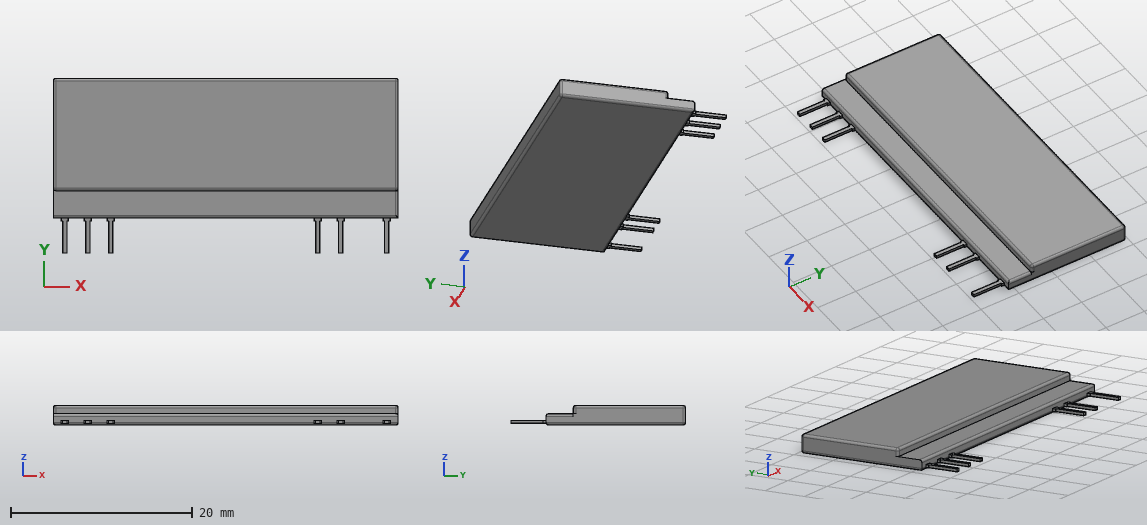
import cadquery as cq

WIDTH = 38.1
DEPTH = 15.43
HEIGHT = 2.17
LEDGE_DEPTH = 3.0
LEDGE_HEIGHT = 1.25
EDGE_RADIUS = 0.3

PIN_LENGTH = 3.9
PIN_WIDTH = 0.5
PIN_THICKNESS = 0.35
PIN_BOTTOM = 0.2
COLLAR_WIDTH = 0.8
COLLAR_LENGTH = 0.35
PIN_PITCH = WIDTH / 15
PIN_SLOTS = (-7, -6, -5, 4, 5, 7)


def block(width, y_start, length, z_start, height):
    """Box centred on X, starting at the given Y and Z."""
    return (
        cq.Workplane("XY")
        .box(width, length, height, centered=(True, False, False))
        .translate((0, y_start, z_start))
    )


def make_housing():
    """Stepped block with rounded edges; its front face lies on Y = 0."""
    main_depth = DEPTH - LEDGE_DEPTH
    main = block(WIDTH, LEDGE_DEPTH, main_depth, 0, HEIGHT)
    main = main.edges("|Z").fillet(EDGE_RADIUS).faces(">Z").edges().fillet(EDGE_RADIUS)

    ledge = block(WIDTH, 0, LEDGE_DEPTH, 0, LEDGE_HEIGHT)
    ledge = ledge.edges("(>Z and <Y) or (>Z and >X)").fillet(EDGE_RADIUS)

    corner_fill = block(WIDTH, LEDGE_DEPTH, EDGE_RADIUS, 0, LEDGE_HEIGHT)

    housing = main.union(corner_fill).union(ledge).clean()
    return housing.faces("<Z").edges().fillet(EDGE_RADIUS)


def make_pin(x):
    """Straight pin pointing to -Y, with its collar against the housing front."""
    stem = block(PIN_WIDTH, -PIN_LENGTH, PIN_LENGTH, PIN_BOTTOM, PIN_THICKNESS)
    collar = block(COLLAR_WIDTH, -COLLAR_LENGTH, COLLAR_LENGTH, PIN_BOTTOM, PIN_THICKNESS)
    return stem.union(collar).translate((x, 0, 0))


housing = make_housing()
pins = [make_pin(slot * PIN_PITCH) for slot in PIN_SLOTS]

result = cq.Compound.makeCompound([housing.solids().val(), *[pin.solids().val() for pin in pins]])